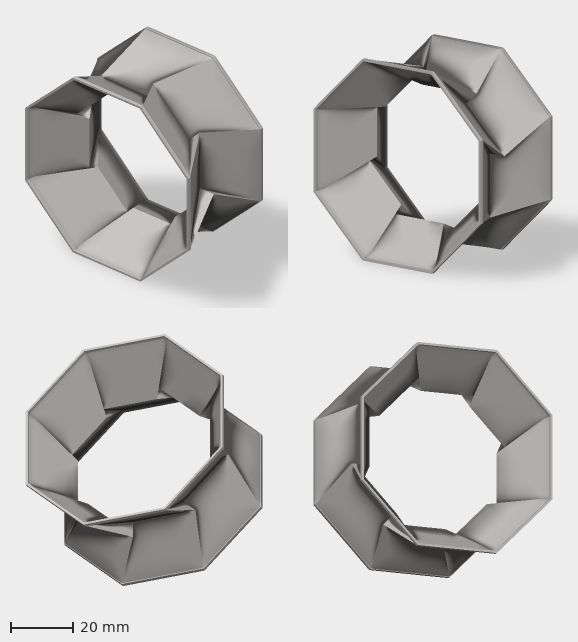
import cadquery as cq
import math

SIDES = 8
TURN = 2 * math.pi / SIDES
WIDTH = 66.8
LENGTH = 38.4
RIM_LENGTH = 1.3
RIM_WALL = 0.75
RIM_STEP = 0.3
WAIST_APOTHEM = 22.85
WAIST_STEP = 3.8
PANEL_WALL = 0.55
INNER_MITER = 0.1

fold_y = LENGTH / 2 - RIM_LENGTH


def turned(x, z, index):
    """Turn a point of the top panel clockwise by whole panels."""
    angle = -index * TURN
    return (x * math.cos(angle) - z * math.sin(angle), x * math.sin(angle) + z * math.cos(angle))


def polygon_face(points):
    return cq.Face.makeFromWires(cq.Wire.makePolygon([cq.Vector(*p) for p in points], close=True))


def folded_body(end_apothem, waist_apothem, waist_step, miter=0):
    """Solid whose octagonal ends fold into a stepped pinwheel outline at Y = 0."""
    half_side = end_apothem * math.tan(TURN / 2)
    lead = (waist_step - waist_apothem * math.sin(TURN)) / math.cos(TURN)
    miter_apothem = end_apothem + miter * (waist_apothem - end_apothem)
    miter_half_side = miter_apothem * math.tan(TURN / 2)

    def corner(x, y, z, index):
        turned_x, turned_z = turned(x, z, index)
        return (turned_x, y, turned_z)

    faces = []
    for end_y in (-fold_y, fold_y):
        miter_y = end_y * (1 - miter)
        end_outline = []
        for i in range(SIDES):
            end_left = corner(-half_side, end_y, end_apothem, i)
            end_right = corner(half_side, end_y, end_apothem, i)
            miter_left = corner(-miter_half_side, miter_y, miter_apothem, i)
            miter_right = corner(miter_half_side, miter_y, miter_apothem, i)
            waist_left = corner(lead, 0, waist_apothem, i)
            waist_right = corner(waist_step, 0, waist_apothem, i)
            next_waist_left = corner(lead, 0, waist_apothem, i + 1)
            panel = [end_left, end_right, waist_right, waist_left]
            if miter:
                panel = [end_left, end_right, miter_right, waist_right, waist_left, miter_left]
            faces.append(polygon_face(panel))
            faces.append(polygon_face([miter_right, next_waist_left, waist_right]))
            end_outline.append(end_left)
        faces.append(polygon_face(end_outline))
    solid = cq.Solid.makeSolid(cq.Shell.makeShell(faces))
    return cq.Workplane(obj=solid.fix())


def octagon_prism(apothem, start_y, length):
    half_side = apothem * math.tan(TURN / 2)
    corners = [turned(-half_side, apothem, i) for i in range(SIDES)]
    return cq.Workplane("XZ", origin=(0, start_y, 0)).polyline(corners).close().extrude(-length)


rim_bore = WIDTH / 2 - RIM_WALL
outer = folded_body(WIDTH / 2 - RIM_STEP, WAIST_APOTHEM, WAIST_STEP)
inner = folded_body(rim_bore, WAIST_APOTHEM - PANEL_WALL, WAIST_STEP + PANEL_WALL, INNER_MITER)

result = outer.cut(inner)
for start_y in (-LENGTH / 2, fold_y):
    rim = octagon_prism(WIDTH / 2, start_y, RIM_LENGTH)
    result = result.union(rim.cut(octagon_prism(rim_bore, start_y, RIM_LENGTH)))